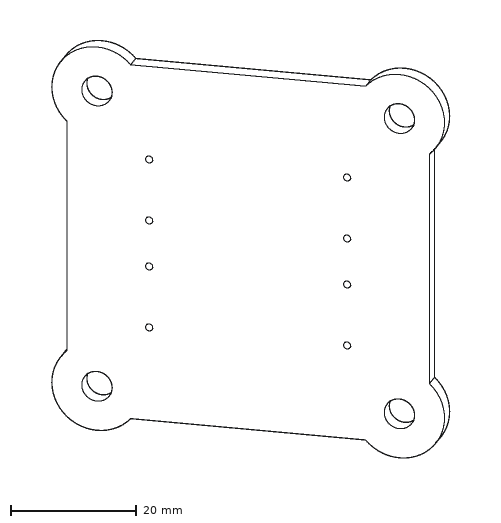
import cadquery as cq

overall_size = 65.0
thickness = 3.2
plate_side = 60.0

lobe_radius = 7.5
mounting_hole_diameter = 5.0
mounting_hole_spacing = overall_size - 2 * lobe_radius

pin_hole_diameter = 1.2
pin_column_spacing = 32.75
inner_pin_spacing = 7.8
outer_pin_spacing = 28.5


def mirrored_points(x_spacing, z_spacing):
    """Four points at the corners of a centred rectangle."""
    return [(sx * x_spacing / 2, sz * z_spacing / 2) for sx in (-1, 1) for sz in (-1, 1)]


def disks(points, diameter):
    """Cylinders through the plate thickness at the given X, Z points."""
    return (
        cq.Workplane("XZ")
        .pushPoints(points)
        .circle(diameter / 2)
        .extrude(thickness / 2, both=True)
    )


corner_points = mirrored_points(mounting_hole_spacing, mounting_hole_spacing)

plate = cq.Workplane("XY").box(plate_side, thickness, plate_side)
plate = plate.union(disks(corner_points, 2 * lobe_radius))

plate = plate.cut(disks(corner_points, mounting_hole_diameter))
for pin_row_spacing in (inner_pin_spacing, outer_pin_spacing):
    pin_points = mirrored_points(pin_column_spacing, pin_row_spacing)
    plate = plate.cut(disks(pin_points, pin_hole_diameter))

result = plate